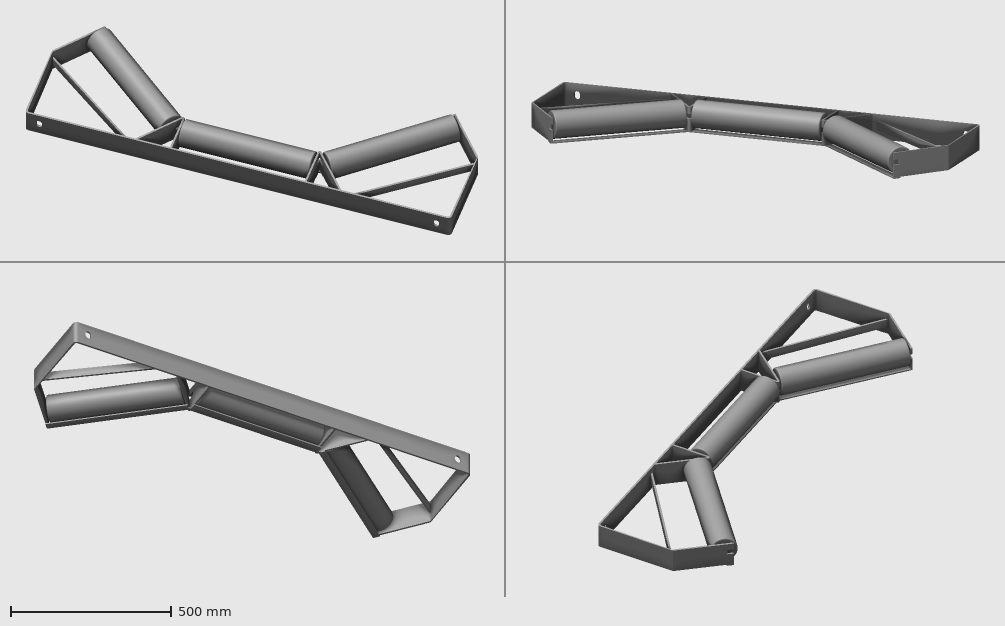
import cadquery as cq
import math

frame_length = 1400.0
frame_height = 80.0
sheet = 6.3
corner_radius = 13.0
side_depth = 272.0
trough_angle = 40.0
arm_length = 193.0

slot_width = 20.0
slot_length = 27.0
slot_inset = 48.0
slot_lift = 42.0

roller_radius = 45.0
roller_length = 430.0
roller_edge = 4.0
axis_height = 49.0
middle_axis_y = 101.0
wing_axis_offset = 164.0
middle_gap = 3.5
wing_gap = 5.0
shaft_width = 20.0
shaft_height = 17.0

ledge_thickness = 4.0
ledge_setback = 7.0
web_front_y = 122.0
brace_height = 30.0
brace_lift = 30.0
brace_foot_x = 353.0

half_length = frame_length / 2
strip_bottom = ledge_thickness
axis_z = strip_bottom + axis_height
slope = math.radians(trough_angle)
arm_x, arm_y = math.sin(slope), math.cos(slope)
axis_x, axis_y = math.cos(slope), -math.sin(slope)
wing_span = roller_length + 2 * wing_gap
middle_span = roller_length + 2 * middle_gap
wing_leg_start = sheet + wing_span
slanted_inner = wing_leg_start + sheet
upright_outer_x = -middle_span / 2
upright_inner_x = upright_outer_x - sheet
ledge_front = wing_axis_offset + ledge_setback


def wing_point(along_axis, along_arm):
    """XY of a point given by its distances from the left knee."""
    x = -half_length + along_axis * axis_x + along_arm * arm_x
    y = side_depth + along_axis * axis_y + along_arm * arm_y
    return x, y


def axis_line_x(along_arm, y):
    """X at which the line parallel to the left roller, at this distance along the arm, reaches y."""
    start_x, start_y = wing_point(0, along_arm)
    return start_x + (y - start_y) * axis_x / axis_y


def arm_line_point(along_axis, y):
    """Point at this y on the line parallel to the left arm at this distance along the roller."""
    start_x, start_y = wing_point(along_axis, 0)
    return start_x + (y - start_y) * arm_x / arm_y, y


def arm_line_y(along_axis, x):
    """Y at which the line parallel to the left arm, at this distance along the roller, reaches x."""
    start_x, start_y = wing_point(along_axis, 0)
    return start_y + (x - start_x) * arm_y / arm_x


def mirrored(body):
    return body.mirror("YZ")


def on_wing(body, along_axis):
    """Turn a body lying along X onto the left roller axis."""
    x, y = wing_point(along_axis, wing_axis_offset)
    return body.rotate((0, 0, 0), (0, 0, 1), -trough_angle).translate((x, y, axis_z))


def shaft_slot():
    """Cutter for a slot that fits the shaft and is open towards +Y."""
    depth = shaft_width / 2 + roller_radius
    return (
        cq.Workplane("XY")
        .box(2 * sheet, depth, shaft_height)
        .translate((0, (depth - shaft_width) / 2, 0))
    )


def build_roller(span):
    """Roller along X, with a shaft reaching through the plates on both sides of the span."""
    shell = (
        cq.Workplane("YZ", origin=(-roller_length / 2, 0, 0))
        .circle(roller_radius)
        .extrude(roller_length)
        .edges()
        .fillet(roller_edge)
    )
    shaft = cq.Workplane("XY").box(span + 2 * sheet, shaft_width, shaft_height)
    return shell.union(shaft)


def build_ledge_half():
    """Flat strip below the rollers and brackets, from the arm tip to the middle of the frame."""
    back_y = middle_axis_y + arm_length - wing_axis_offset
    return (
        cq.Workplane("XY")
        .moveTo(*wing_point(0, ledge_front))
        .lineTo(*wing_point(0, arm_length))
        .lineTo(axis_line_x(arm_length, back_y), back_y)
        .lineTo(0, back_y)
        .lineTo(0, middle_axis_y)
        .lineTo(upright_inner_x, middle_axis_y)
        .lineTo(upright_inner_x, web_front_y)
        .lineTo(*arm_line_point(slanted_inner, web_front_y))
        .lineTo(*wing_point(slanted_inner, ledge_front))
        .close()
        .extrude(ledge_thickness)
    )


def build_frame_half():
    """Front bar, side and arm bent from one strip, with the ledge under the arm tip."""
    inner_knee = -sheet * math.tan(slope / 2)
    strip = (
        cq.Workplane("XY", origin=(0, 0, strip_bottom))
        .moveTo(0, 0)
        .lineTo(-half_length, 0)
        .lineTo(-half_length, side_depth)
        .lineTo(*wing_point(0, arm_length))
        .lineTo(*wing_point(sheet, arm_length))
        .lineTo(*wing_point(sheet, inner_knee))
        .lineTo(-half_length + sheet, sheet)
        .lineTo(0, sheet)
        .close()
        .extrude(frame_height)
    )
    mid_z = strip_bottom + frame_height / 2
    outer_corner = cq.selectors.NearestToPointSelector((-half_length, 0, mid_z))
    inner_corner = cq.selectors.NearestToPointSelector((-half_length + sheet, sheet, mid_z))
    strip = strip.edges(outer_corner).fillet(corner_radius)
    strip = strip.edges(inner_corner).fillet(corner_radius - sheet)
    strip = strip.cut(on_wing(shaft_slot(), sheet / 2))
    return strip.union(build_ledge_half())


def build_frame():
    half = build_frame_half()
    slot_x = half_length - slot_inset
    slots = (
        cq.Workplane("XZ", origin=(0, 0, strip_bottom + slot_lift))
        .pushPoints([(-slot_x, 0), (slot_x, 0)])
        .slot2D(slot_length, slot_width, 90)
        .extrude(-sheet)
    )
    return half.union(mirrored(half)).cut(slots)


def build_bracket():
    """Left bracket: an upright leg and a slanted leg joined by a bend of one sheet radius."""
    apex_x, apex_y = upright_inner_x, arm_line_y(slanted_inner, upright_inner_x)
    mid_turn = (math.pi - slope) / 2
    bracket = (
        cq.Workplane("XY", origin=(0, 0, strip_bottom))
        .moveTo(upright_outer_x, sheet)
        .lineTo(upright_outer_x, apex_y)
        .threePointArc(
            (apex_x + sheet * math.cos(mid_turn), apex_y + sheet * math.sin(mid_turn)),
            (apex_x - sheet * axis_x, apex_y - sheet * axis_y),
        )
        .lineTo(*arm_line_point(wing_leg_start, sheet))
        .lineTo(*arm_line_point(slanted_inner, sheet))
        .lineTo(apex_x, apex_y)
        .lineTo(upright_inner_x, sheet)
        .close()
        .extrude(frame_height)
    )
    upright_slot = shaft_slot().translate(((upright_outer_x + upright_inner_x) / 2, middle_axis_y, axis_z))
    slanted_slot = on_wing(shaft_slot(), wing_leg_start + sheet / 2)
    return bracket.cut(upright_slot).cut(slanted_slot)


def build_brace():
    """Left brace: a flat bar from the knee down to the front bar."""
    head_x, head_y = -half_length + sheet, side_depth - sheet
    foot_x, foot_y = -brace_foot_x, sheet
    run, drop = foot_x - head_x, head_y - foot_y
    length = math.hypot(run, drop)
    return (
        cq.Workplane("XY", origin=(0, 0, strip_bottom + brace_lift))
        .moveTo(head_x, head_y)
        .lineTo(foot_x, foot_y)
        .lineTo(foot_x - sheet * length / drop, foot_y)
        .lineTo(head_x, head_y - sheet * length / run)
        .close()
        .extrude(brace_height)
    )


frame = build_frame()
middle_roller = build_roller(middle_span).translate((0, middle_axis_y, axis_z))
left_parts = [
    on_wing(build_roller(wing_span), sheet + wing_span / 2),
    build_bracket(),
    build_brace(),
]
bodies = [frame, middle_roller]
for part in left_parts:
    bodies += [part, mirrored(part)]
result = cq.Compound.makeCompound([body.val() for body in bodies])